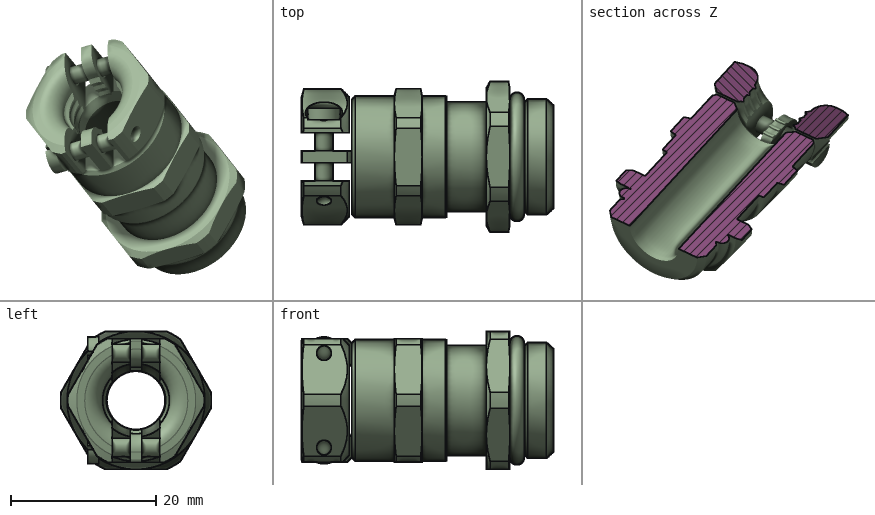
import cadquery as cq
import math

LENGTH = 34.71

BORE_R = 8.0 / 2
TOOTH_CREST_R = 8.2 / 2
TOOTH_ROOT_R = 4.4
MOUTH_R = 7.1
MOUTH_THROAT_R = 4.6
INLET_R = 10.1 / 2
MOUTH_DEPTH = MOUTH_R - MOUTH_THROAT_R
TOOTH_PITCH = 1.5
TOOTH_RAMP = 0.5
TOOTH_LAND = 0.25
TOOTH_COUNT = 3
INLET_LENGTH = 0.9

NUT_FLATS = 17.0
NUT_CORNER_R = 18.76 / 2
CLAMP_FACE_R = 8.2
CLAMP_FRONT_CHAMFER = 0.33
CLAMP_END = 6.61
NUT_FACE = 6.92
NUT_FACE_R = 7.9
CLAMP_CONE_START = NUT_FACE - (NUT_CORNER_R - NUT_FACE_R)
NUT_R = 16.8 / 2
NUT_HEX_START = 12.77
NUT_HEX_END = 16.62
NUT_HEX_FRONT_CHAMFER = 0.27
NUT_HEX_BACK_CHAMFER = 0.2
NUT_END = 20.03
NUT_END_CHAMFER = 0.25
NUT_END_R = 8.3

NECK_R = 15.2 / 2
BODY_FLATS = 19.0
BODY_CORNER_R = 20.79 / 2
BODY_HEX_START = 25.46
BODY_HEX_END = 28.68
BODY_HEX_FRONT_CHAMFER = 0.52
BODY_HEX_BACK_CHAMFER = 0.17
THREAD_R = 16.0 / 2
THREAD_ROOT_R = 7.55
THREAD_LEAD_IN = THREAD_R - THREAD_ROOT_R
THREAD_TIP_R = 7.1
THREAD_TIP_CHAMFER = 0.97

RING_SECTION_R = 1.0
RING_CENTRE_R = 7.9
RING_THREAD_GAP = 0.05
RING_CENTRE_X = BODY_HEX_END + RING_SECTION_R
THREAD_START = RING_CENTRE_X + RING_SECTION_R + RING_THREAD_GAP

SLOT_WIDTH = 6.6
TAB_WIDTH = 1.64
SCREW_X = 3.1
SCREW_HEIGHTS = (-6.5, 6.5)
SCREW_D = 2.5
SCREW_TIP_Y = -4.7
SCREW_TAPPED_D = 2.01
SCREW_CLEARANCE_D = 2.9
HEAD_D = 4.5
HEAD_SEAT_Y = 5.12
HEAD_HEIGHT = 1.55
DRIVE_SLOT_WIDTH = 0.55
DRIVE_SLOT_DEPTH = 0.8
SPOTFACE_D = 5.1


def revolved(points):
    """Solid of revolution about the X axis from (x, radius) points."""
    return cq.Workplane("XY").polyline(points).close().revolve(360, (0, 0, 0), (1, 0, 0))


def hexagon(start, end, flats, turned_profile):
    """Hexagonal prism along X with flats on +Z and -Z, trimmed by a turned profile."""
    across_corners = flats / math.cos(math.pi / 6)
    prism = cq.Workplane("YZ").workplane(offset=start).polygon(6, across_corners).extrude(end - start)
    return prism.intersect(revolved(turned_profile))


def rod(diameter, y_start, y_end, z):
    """Cylinder along Y on the screw axis at height z."""
    return (
        cq.Workplane("XZ", origin=(SCREW_X, y_start, z))
        .circle(diameter / 2)
        .extrude(y_start - y_end)
    )


def clamp_blank():
    """Turned hexagon of the clamp; its 45 degree rear cone runs down to the nut face."""
    profile = [
        (0, 0),
        (0, CLAMP_FACE_R),
        (CLAMP_FRONT_CHAMFER, NUT_CORNER_R),
        (CLAMP_CONE_START, NUT_CORNER_R),
        (NUT_FACE, NUT_FACE_R),
        (NUT_FACE, 0),
    ]
    return hexagon(0, NUT_FACE, NUT_FLATS, profile)


def nut():
    """Turned nut with a hexagon around its middle."""
    turned = revolved([
        (NUT_FACE, 0),
        (NUT_FACE, NUT_FACE_R),
        (NUT_FACE + NUT_R - NUT_FACE_R, NUT_R),
        (NUT_END - NUT_END_CHAMFER, NUT_R),
        (NUT_END, NUT_END_R),
        (NUT_END, 0),
    ])
    profile = [
        (NUT_HEX_START, 0),
        (NUT_HEX_START, NUT_R),
        (NUT_HEX_START + NUT_HEX_FRONT_CHAMFER, NUT_CORNER_R),
        (NUT_HEX_END - NUT_HEX_BACK_CHAMFER, NUT_CORNER_R),
        (NUT_HEX_END, NUT_R),
        (NUT_HEX_END, 0),
    ]
    return turned.union(hexagon(NUT_HEX_START, NUT_HEX_END, NUT_FLATS, profile))


def body():
    """Neck, hexagonal collar, sealing ring and threaded end."""
    neck = revolved([(NUT_END, 0), (NUT_END, NECK_R), (BODY_HEX_START, NECK_R), (BODY_HEX_START, 0)])
    profile = [
        (BODY_HEX_START, 0),
        (BODY_HEX_START, BODY_FLATS / 2),
        (BODY_HEX_START + BODY_HEX_FRONT_CHAMFER, BODY_CORNER_R),
        (BODY_HEX_END - BODY_HEX_BACK_CHAMFER, BODY_CORNER_R),
        (BODY_HEX_END, BODY_FLATS / 2),
        (BODY_HEX_END, 0),
    ]
    collar = hexagon(BODY_HEX_START, BODY_HEX_END, BODY_FLATS, profile)
    ring_and_thread = (
        cq.Workplane("XY")
        .moveTo(BODY_HEX_END, 0)
        .lineTo(BODY_HEX_END, RING_CENTRE_R)
        .threePointArc(
            (RING_CENTRE_X, RING_CENTRE_R + RING_SECTION_R),
            (RING_CENTRE_X + RING_SECTION_R, RING_CENTRE_R),
        )
        .lineTo(RING_CENTRE_X + RING_SECTION_R, THREAD_ROOT_R)
        .lineTo(THREAD_START, THREAD_ROOT_R)
        .lineTo(THREAD_START + THREAD_LEAD_IN, THREAD_R)
        .lineTo(LENGTH - THREAD_TIP_CHAMFER, THREAD_R)
        .lineTo(LENGTH, THREAD_TIP_R)
        .lineTo(LENGTH, 0)
        .close()
        .revolve(360, (0, 0, 0), (1, 0, 0))
    )
    return neck.union(collar).union(ring_and_thread)


def bore():
    """Bell mouth, ratchet-shaped clamping teeth, flared nut inlet and straight bore."""
    arc_mid = math.sqrt(0.5) * MOUTH_DEPTH
    profile = (
        cq.Workplane("XY")
        .moveTo(0, 0)
        .lineTo(0, MOUTH_R)
        .threePointArc(
            (MOUTH_DEPTH - arc_mid, MOUTH_R - arc_mid),
            (MOUTH_DEPTH, MOUTH_THROAT_R),
        )
    )
    for i in range(TOOTH_COUNT):
        ramp_end = MOUTH_DEPTH + TOOTH_RAMP + i * TOOTH_PITCH
        crest_end = ramp_end + TOOTH_LAND
        profile = profile.lineTo(ramp_end, TOOTH_CREST_R).lineTo(crest_end, TOOTH_CREST_R)
        profile = profile.lineTo(crest_end, TOOTH_ROOT_R)
        if i < TOOTH_COUNT - 1:
            profile = profile.lineTo(ramp_end + TOOTH_PITCH - TOOTH_RAMP, TOOTH_ROOT_R)
    return (
        profile.lineTo(NUT_FACE, INLET_R)
        .lineTo(NUT_FACE + INLET_LENGTH, BORE_R)
        .lineTo(LENGTH, BORE_R)
        .lineTo(LENGTH, 0)
        .close()
        .revolve(360, (0, 0, 0), (1, 0, 0))
    )


def block(y_start, y_end, x_end):
    """Box from X = 0 to x_end, spanning the given Y range and the full clamp height."""
    box = cq.Workplane("XY").box(x_end, y_end - y_start, 2 * NUT_CORNER_R, centered=False)
    return box.translate((0, y_start, -NUT_CORNER_R))


def screw(z):
    """Slotted cheese-head screw along Y."""
    shank = rod(SCREW_D, SCREW_TIP_Y, HEAD_SEAT_Y, z)
    head_top = HEAD_SEAT_Y + HEAD_HEIGHT
    head = rod(HEAD_D, HEAD_SEAT_Y, head_top, z)
    cutter = cq.Workplane("XY").box(2 * HEAD_D, 2 * DRIVE_SLOT_DEPTH, DRIVE_SLOT_WIDTH)
    return shank.union(head).cut(cutter.translate((SCREW_X, head_top, z)))


def threaded_clamp_half():
    """Half on the -Y side: each hole narrows where the screw tip ends."""
    half = drilled_clamp.intersect(block(-NUT_CORNER_R, -SLOT_WIDTH / 2, CLAMP_END))
    for z in SCREW_HEIGHTS:
        half = half.cut(rod(SCREW_D, SCREW_TIP_Y, 0, z))
        half = half.cut(rod(SCREW_TAPPED_D, -NUT_CORNER_R, SCREW_TIP_Y, z))
    return half


def head_clamp_half():
    """Half on the +Y side: clearance holes with spotfaces that seat the screw heads."""
    half = drilled_clamp.intersect(block(SLOT_WIDTH / 2, NUT_CORNER_R, CLAMP_END))
    for z in SCREW_HEIGHTS:
        half = half.cut(rod(SCREW_CLEARANCE_D, 0, HEAD_SEAT_Y, z))
        half = half.cut(rod(SPOTFACE_D, HEAD_SEAT_Y, NUT_CORNER_R, z))
    return half


def centre_tabs():
    """Upper and lower tabs between the clamp halves, joined to the nut face."""
    tabs = drilled_clamp.intersect(block(-TAB_WIDTH / 2, TAB_WIDTH / 2, NUT_FACE))
    for z in SCREW_HEIGHTS:
        tabs = tabs.cut(rod(SCREW_CLEARANCE_D, -TAB_WIDTH, TAB_WIDTH, z))
    return tabs


gland_bore = bore()
drilled_clamp = clamp_blank().cut(gland_bore)
gland = nut().union(body()).cut(gland_bore).union(centre_tabs())
threaded_half = threaded_clamp_half()
head_half = head_clamp_half()
screws = [screw(z) for z in SCREW_HEIGHTS]

result = cq.Compound.makeCompound(
    [gland.val(), threaded_half.val(), head_half.val(), *[item.val() for item in screws]]
)